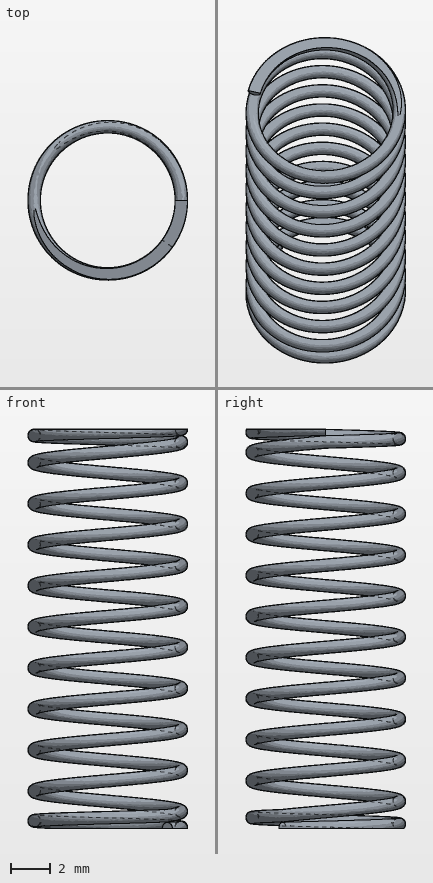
import cadquery as cq

outer_diameter = 8.0
free_length = 20.0
wire_diameter = 0.63
coil_gap = 0.02
active_turns = 9.1
closed_turns = 1

wire_radius = wire_diameter / 2
coil_radius = outer_diameter / 2 - wire_radius
closed_pitch = wire_diameter + coil_gap
closed_height = closed_turns * closed_pitch
active_height = free_length - 2 * closed_height
active_pitch = active_height / active_turns

upper_tip_angle = 0.0
lower_tip_angle = upper_tip_angle - 360 * (active_turns + 2 * closed_turns)


def coil(pitch, height, base_z, start_angle):
    """Right-handed wire coil that starts at base_z, at start_angle (degrees) from +X."""
    path = cq.Wire.makeHelix(pitch, height, coil_radius, center=cq.Vector(0, 0, base_z))
    section = cq.Workplane("XZ").center(coil_radius, base_z).circle(wire_radius)
    wire = section.sweep(cq.Workplane(obj=path), isFrenet=True)
    return wire.rotate((0, 0, 0), (0, 0, 1), start_angle)


def grinding_envelope():
    """Slab between the two ground end planes, wider than the spring."""
    width = 2 * outer_diameter
    return cq.Workplane("XY").box(width, width, free_length, centered=(True, True, False))


def closed_coil(base_z, start_angle):
    """End coil whose tip runs out on an end plane, where grinding leaves half of the wire."""
    return coil(closed_pitch, closed_height, base_z, start_angle).intersect(grinding_envelope())


active_start_angle = lower_tip_angle + 360 * closed_turns
upper_start_angle = upper_tip_angle - 360 * closed_turns

bottom_coil = closed_coil(0, lower_tip_angle)
active_coils = coil(active_pitch, active_height, closed_height, active_start_angle)
top_coil = closed_coil(free_length - closed_height, upper_start_angle)

result = active_coils.union(bottom_coil).union(top_coil).solids()